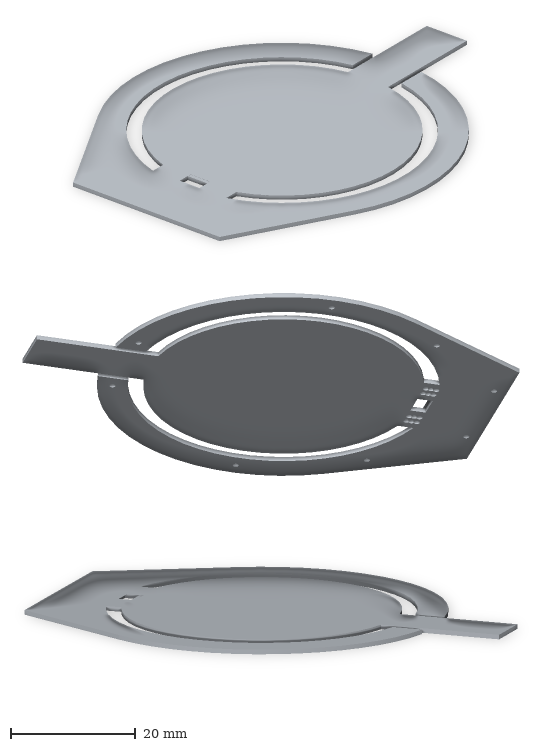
import cadquery as cq
import math

total_thickness = 0.75
cover_thickness = 0.04
core_thickness = total_thickness - cover_thickness

total_length = 77.5
outer_radius = 30.0
ring_inner_radius = 25.0
disc_radius = 22.55
base_half_width = 15.0
base_y = -35.0
tab_top_y = base_y + total_length
tab_width = 8.2
ring_gap_width = 10.0
bridge_width = 15.0

window_width = 4.0
cover_window_top_y = -21.1
cover_window_bottom_y = -23.9
core_window_top_y = -21.8
core_window_bottom_y = -24.3

hole_diameter = 1.0
ring_hole_radius = 27.5
ring_hole_tilt = 15.8
lower_hole_x = 20.0
lower_hole_y = -19.8
base_hole_x = 8.0
base_hole_y = -32.85

scallop_columns = 2
scallop_rows = 3
scallop_pitch_x = 1.6
scallop_pitch_y = 0.85
scallop_centre_x = 4.8
scallop_centre_y = -23.0


def cylinder(radius, thickness):
    return cq.Workplane("XY").circle(radius).extrude(thickness)


def bar(width, bottom_y, top_y, thickness):
    """Block centred on the Y axis between two Y positions."""
    height = top_y - bottom_y
    return cq.Workplane("XY").center(0, bottom_y + height / 2).rect(width, height).extrude(thickness)


def outer_plate(thickness):
    """Round plate whose sides run tangentially down to the straight base."""
    corner_distance = math.hypot(base_half_width, base_y)
    corner_angle = math.atan2(base_y, base_half_width)
    tangent_angle = corner_angle + math.acos(outer_radius / corner_distance)
    tangent_x = outer_radius * math.cos(tangent_angle)
    tangent_y = outer_radius * math.sin(tangent_angle)
    return (
        cq.Workplane("XY")
        .moveTo(-base_half_width, base_y)
        .lineTo(base_half_width, base_y)
        .lineTo(tangent_x, tangent_y)
        .threePointArc((0, outer_radius), (-tangent_x, tangent_y))
        .close()
        .extrude(thickness)
    )


def layer(thickness, window_bottom_y, window_top_y):
    """Ring, disc, bridge and tab in one sheet, with the window cut through."""
    disc = cylinder(disc_radius, thickness)
    bridge = bar(bridge_width, -outer_radius, 0, thickness)
    ring_slot = cylinder(ring_inner_radius, thickness).cut(disc).cut(bridge)
    ring_gap = bar(ring_gap_width, 0, tab_top_y, thickness).cut(disc)
    tab = bar(tab_width, 0, tab_top_y, thickness)
    window = bar(window_width, window_bottom_y, window_top_y, thickness)
    return outer_plate(thickness).cut(ring_slot).cut(ring_gap).union(tab).cut(window)


def single_hole_points():
    """Holes of the right half around the ring and along the base."""
    tilt = math.radians(ring_hole_tilt)
    return [
        (ring_hole_radius * math.sin(tilt), ring_hole_radius * math.cos(tilt)),
        (ring_hole_radius, 0),
        (lower_hole_x, lower_hole_y),
        (base_hole_x, base_hole_y),
    ]


def scallop_points():
    """Hole grid of the right half, beside the window."""
    first_x = scallop_centre_x - scallop_pitch_x * (scallop_columns - 1) / 2
    first_y = scallop_centre_y - scallop_pitch_y * (scallop_rows - 1) / 2
    return [
        (first_x + column * scallop_pitch_x, first_y + row * scallop_pitch_y)
        for column in range(scallop_columns)
        for row in range(scallop_rows)
    ]


def make_core():
    body = layer(core_thickness, core_window_bottom_y, core_window_top_y)
    hole = cylinder(hole_diameter / 2, core_thickness)
    for x, y in single_hole_points() + scallop_points():
        for side in (-1, 1):
            body = body.cut(hole.translate((side * x, y, 0)))
    return body


def make_cover():
    sheet = layer(cover_thickness, cover_window_bottom_y, cover_window_top_y)
    return sheet.translate((0, 0, core_thickness))


core = make_core()
cover = make_cover()
result = cq.Compound.makeCompound([core.solids().val(), cover.solids().val()])